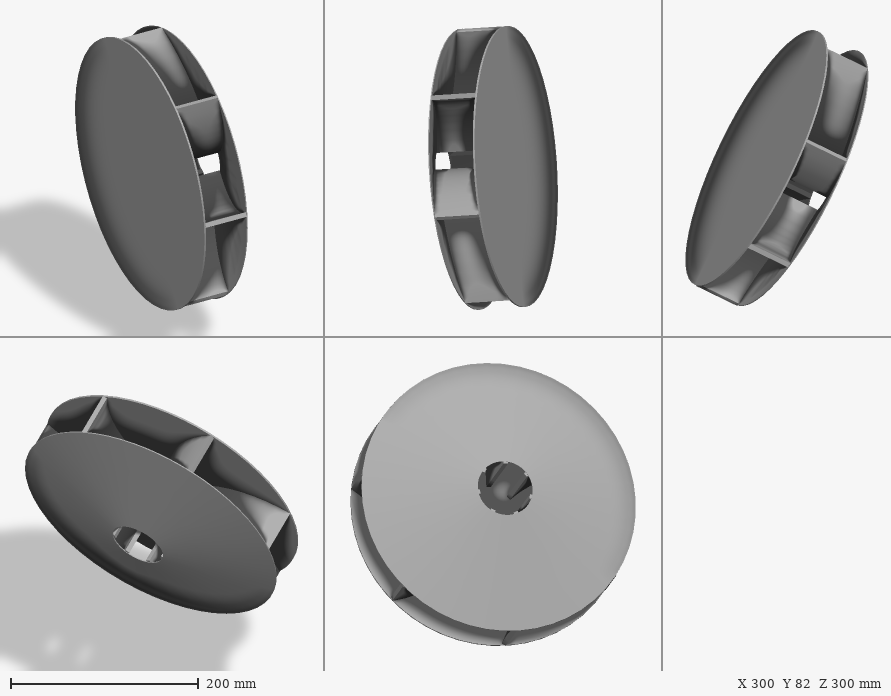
import cadquery as cq
import math

outer_radius = 150.0
inlet_radius = 30.0
total_width = 82.0
plate_thickness = 2.0
shroud_thickness = 1.2
cone_height = 30.0
rim_back = total_width - cone_height
rim_front = rim_back - shroud_thickness

blade_count = 7
blade_thickness = 5.0
blade_radius = 129.0
blade_tip_radius = 150.7
blade_tip_angle = 211.1
blade_root_radius = 27.5
blade_root_angle = 189.2
blade_overlap = 0.5


def polar(radius, angle, center=(0, 0)):
    """Point at an angle in degrees around a center."""
    turn = math.radians(angle)
    return (center[0] + radius * math.cos(turn), center[1] + radius * math.sin(turn))


def axial_sketch(y):
    """Workplane across the axis at height y, with local axes X and Z, extruding toward -Y."""
    return cq.Workplane("XZ", origin=(0, y, 0))


def back_plate():
    return axial_sketch(plate_thickness).circle(outer_radius).extrude(plate_thickness)


def shroud():
    """Thin open cone from the rim to the inlet."""
    profile = [
        (outer_radius, rim_front),
        (outer_radius, rim_back),
        (inlet_radius, total_width),
        (inlet_radius, total_width - shroud_thickness),
    ]
    return cq.Workplane("XY").polyline(profile).close().revolve(360, (0, 0), (0, 1))


def blade_envelope():
    """Space the blades may fill: up to the tips at the front, sunk into the cone at the back."""
    cone_start = rim_front + blade_overlap
    envelope_radius = blade_tip_radius + blade_thickness
    profile = [
        (0, 0),
        (envelope_radius, 0),
        (envelope_radius, cone_start),
        (outer_radius, cone_start),
        (inlet_radius, cone_start + cone_height),
        (0, cone_start + cone_height),
    ]
    return cq.Workplane("XY").polyline(profile).close().revolve(360, (0, 0), (0, 1))


def blade():
    """Curved strip between two concentric arcs, with square ends and its back edge on the cone."""
    tip = polar(blade_tip_radius, blade_tip_angle)
    root = polar(blade_root_radius, blade_root_angle)
    chord = math.dist(tip, root)
    chord_angle = math.degrees(math.atan2(root[1] - tip[1], root[0] - tip[0]))
    half_sweep = math.degrees(math.asin(chord / 2 / blade_radius))

    tip_direction = chord_angle + 90 + half_sweep
    middle_direction = chord_angle + 90
    root_direction = chord_angle + 90 - half_sweep
    center = polar(blade_radius, tip_direction + 180, tip)
    concave_radius = blade_radius - blade_thickness

    front = plate_thickness - blade_overlap
    return (
        axial_sketch(total_width)
        .moveTo(*tip)
        .threePointArc(polar(blade_radius, middle_direction, center), root)
        .lineTo(*polar(concave_radius, root_direction, center))
        .threePointArc(
            polar(concave_radius, middle_direction, center),
            polar(concave_radius, tip_direction, center),
        )
        .close()
        .extrude(total_width - front)
        .intersect(blade_envelope())
    )


fan_blade = blade()
result = back_plate().union(shroud())
for index in range(blade_count):
    turned_blade = fan_blade.rotate((0, 0, 0), (0, 1, 0), index * 360 / blade_count)
    result = result.union(turned_blade)